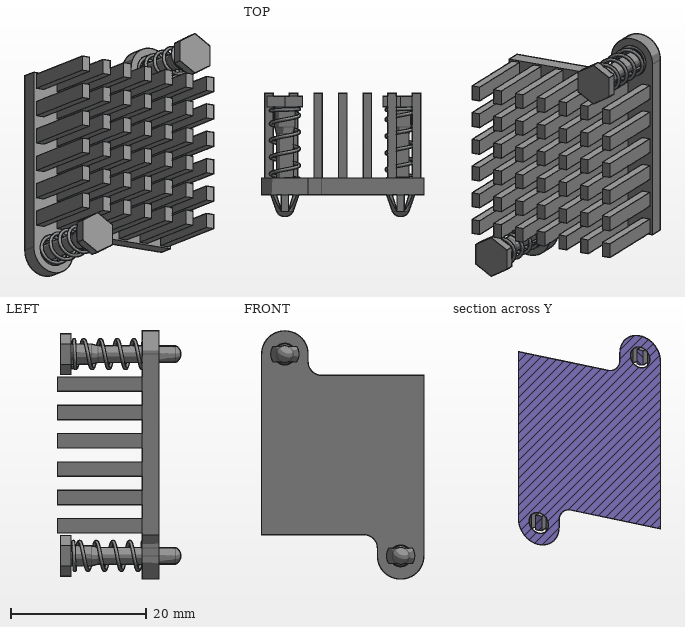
import math

import cadquery as cq


plate_width = 24.0
plate_height = 23.55
plate_thickness = 2.5
lug_radius = 3.45
lug_corner_radius = 2.0
overall_height = 36.7

fin_columns = 7
fin_rows = 6
fin_width = 1.3
fin_height = 2.15
fin_pitch_x = 3.65
fin_pitch_z = 4.2
fin_tip_y = 15.0
fin_length = fin_tip_y - plate_thickness

pin_x = plate_width / 2 - lug_radius
pin_z = overall_height / 2 - lug_radius
pin_places = [(-pin_x, pin_z), (pin_x, -pin_z)]
pin_hole_radius = 1.6

head_sides = 6
head_corner_diameter = 6.05
head_thickness = 1.58
head_underside_y = 13.0
shoulder_radius = 1.5
shoulder_end_y = 10.02
taper_end_y = 9.03
shank_radius = 1.25
dome_start_y = -2.42
tip_y = -3.23
dome_height = dome_start_y - tip_y

prong_end_radius = 2.1
prong_half_height = 1.15
blade_half_width = 0.55
slot_start_y = -2.2
slot_end_y = 0.35
slot_mouth_half_width = 1.2

wire_diameter = 0.48
spring_outer_radius = 2.3
coil_radius = spring_outer_radius - wire_diameter / 2
closed_turns = 0.95
closed_pitch = 0.4
open_turns = 4
recess_depth = 0.62
recess_floor_y = plate_thickness - recess_depth
recess_radius = 2.35
spring_length = head_underside_y - recess_floor_y
closed_rise = closed_turns * closed_pitch
open_rise = spring_length - wire_diameter - 2 * closed_rise
total_turns = 2 * closed_turns + open_turns
points_per_turn = 16
first_spring_angle = -72
spring_start_angles = [first_spring_angle, first_spring_angle + 90]


def make_plate():
    """Square plate with a round lug at its (-X, +Z) and (+X, -Z) corners."""
    plate = cq.Workplane("XZ").rect(plate_width, plate_height).extrude(-plate_thickness)
    for x, z in pin_places:
        lug_arm = cq.Workplane("XZ").center(x, z / 2).rect(2 * lug_radius, abs(z)).extrude(-plate_thickness)
        lug_end = cq.Workplane("XZ").center(x, z).circle(lug_radius).extrude(-plate_thickness)
        plate = plate.union(lug_arm).union(lug_end)
    corner_x = plate_width / 2 - 2 * lug_radius
    for side in (-1, 1):
        corner = cq.selectors.NearestToPointSelector(
            (side * corner_x, plate_thickness / 2, -side * plate_height / 2)
        )
        plate = plate.edges(corner).fillet(lug_corner_radius)
    return plate


def make_heatsink():
    """Plate with its fin grid, two pin holes and a spring recess around each hole."""
    fins = (
        cq.Workplane("XZ", origin=(0, plate_thickness, 0))
        .rarray(fin_pitch_x, fin_pitch_z, fin_columns, fin_rows)
        .rect(fin_width, fin_height)
        .extrude(-fin_length)
    )
    pin_holes = cq.Workplane("XZ").pushPoints(pin_places).circle(pin_hole_radius).extrude(-plate_thickness)
    spring_recesses = (
        cq.Workplane("XZ", origin=(0, recess_floor_y, 0))
        .pushPoints(pin_places)
        .circle(recess_radius)
        .extrude(-recess_depth)
    )
    return make_plate().union(fins).cut(pin_holes).cut(spring_recesses)


def make_pin():
    """Pin on the Y axis: hexagonal head, tapered shank, domed tip and two snap prongs."""
    head = (
        cq.Workplane("XZ", origin=(0, head_underside_y, 0))
        .transformed(rotate=(0, 0, 90))
        .polygon(head_sides, head_corner_diameter)
        .extrude(-head_thickness)
    )
    dome_radius = (shank_radius**2 + dome_height**2) / (2 * dome_height)
    dome_center_y = tip_y + dome_radius
    dome_mid_angle = math.asin(shank_radius / dome_radius) / 2
    dome_mid = (
        dome_center_y - dome_radius * math.cos(dome_mid_angle),
        dome_radius * math.sin(dome_mid_angle),
    )
    shank = (
        cq.Workplane("YZ")
        .moveTo(tip_y, 0)
        .threePointArc(dome_mid, (dome_start_y, shank_radius))
        .lineTo(taper_end_y, shank_radius)
        .lineTo(shoulder_end_y, shoulder_radius)
        .lineTo(head_underside_y, shoulder_radius)
        .lineTo(head_underside_y, 0)
        .close()
        .revolve(360, (0, 0), (1, 0))
    )
    cone = (
        cq.Workplane("YZ")
        .polyline([(dome_start_y, 0), (dome_start_y, shank_radius), (0, prong_end_radius), (0, 0)])
        .close()
        .revolve(360, (0, 0), (1, 0))
    )
    prong_band = cq.Workplane("XY").box(4 * prong_end_radius, 4 * prong_end_radius, 2 * prong_half_height)
    pin = shank.union(cone.intersect(prong_band)).union(head)
    slot = (
        cq.Workplane("XY")
        .polyline(
            [
                (blade_half_width, slot_start_y),
                (slot_mouth_half_width, 0),
                (pin_hole_radius, 0),
                (pin_hole_radius, slot_end_y),
                (blade_half_width, slot_end_y),
            ]
        )
        .close()
        .extrude(2 * shank_radius, both=True)
    )
    return pin.cut(slot).cut(slot.mirror("YZ"))


def coil_point(turn):
    """Wire centre after a number of turns from the head, measured down from the head."""
    opened = min(max(turn - closed_turns, 0), open_turns)
    drop = wire_diameter / 2 + (turn - opened) * closed_pitch + opened * open_rise / open_turns
    angle = 2 * math.pi * turn
    return (coil_radius * math.cos(angle), coil_radius * math.sin(angle), drop)


def make_spring():
    """Right-handed spring on the Y axis, reaching from the pin head to the recess floor."""
    steps = round(points_per_turn * total_turns)
    wire_centres = [coil_point(total_turns * step / steps) for step in range(steps + 1)]
    path = cq.Workplane("XZ", origin=(0, head_underside_y, 0)).spline(wire_centres)
    start = path.val().startPoint()
    tangent = path.val().tangentAt(0)
    wire_section = cq.Workplane(cq.Plane(start, normal=tangent)).circle(wire_diameter / 2)
    return wire_section.sweep(path, isFrenet=True)


heatsink = make_heatsink()
pins = [make_pin().translate((x, 0, z)) for x, z in pin_places]
springs = [
    make_spring().rotate((0, 0, 0), (0, -1, 0), angle).translate((x, 0, z))
    for angle, (x, z) in zip(spring_start_angles, pin_places)
]

result = cq.Compound.makeCompound([body.solids().val() for body in [heatsink, *pins, *springs]])